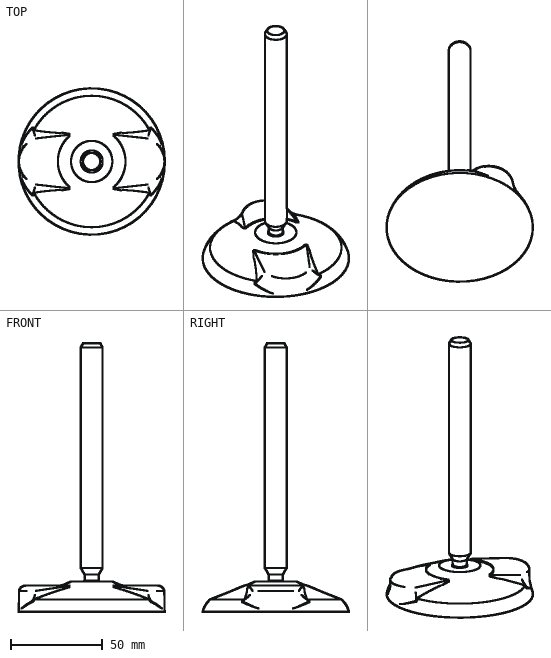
import cadquery as cq
import math

base_radius = 40.0
rim_radius = 35.9
rim_height = 6.7
rim_bulge_radius = 38.5
rim_bulge_height = 3.5
cap_radius = 17.1
cap_base_height = 14.4
cap_shoulder_radius = 15.2
cap_shoulder_height = 14.8
cap_top_radius = 11.3
foot_height = 16.5

lobe_height = 14.4
lobe_inner_radius = 18.5
lobe_tip_x = 12.0
lobe_tip_y = 14.4
lobe_centre_x = 26.5
lobe_flat_radius = 9.4
lobe_round_width = 3.8
lobe_round_drop = 3.0
lobe_flare_width = 6.2
lobe_flare_foot = 5.9
nose_flare_width = 0.1
nose_flare_foot = 0.3
flare_hollow_x = 0.42
flare_hollow_z = 0.57
end_steps = 6
lobe_tip_scale = 0.07

overall_height = 146.5
stud_radius = 12.0 / 2
neck_radius = 7.8 / 2
neck_foot_radius = 4.2
neck_foot_top = 17.0
neck_top = 20.2
shoulder_top = 23.9
stud_tip_radius = 4.7
stud_tip_chamfer = 2.2


def make_plate():
    """Revolve the plate with its curved rim, conical top and raised cap."""
    return (
        cq.Workplane("XZ")
        .lineTo(base_radius, 0)
        .threePointArc((rim_bulge_radius, rim_bulge_height), (rim_radius, rim_height))
        .lineTo(cap_radius, cap_base_height)
        .lineTo(cap_shoulder_radius, cap_shoulder_height)
        .lineTo(cap_top_radius, foot_height)
        .lineTo(0, foot_height)
        .close()
        .revolve(360, (0, 0), (0, 1))
    )


def lobe_section(plane, flat_length, scale, flare_width, flare_foot):
    """Lobe cross-section: flat top, rounded edge, hollow flare and a skirt inside the plate."""
    round_end = flat_length + scale * lobe_round_width
    round_bottom = lobe_height - scale * lobe_round_drop
    flare_drop = round_bottom - flare_foot
    flare_middle = (round_end + flare_hollow_x * flare_width, round_bottom - flare_hollow_z * flare_drop)
    flare_end = round_end + flare_width
    return (
        cq.Workplane(plane)
        .lineTo(0, lobe_height)
        .lineTo(flat_length, lobe_height)
        .tangentArcPoint((round_end, round_bottom), relative=False)
        .threePointArc(flare_middle, (flare_end, flare_foot))
        .lineTo(flare_end, 0)
        .close()
        .wire()
        .val()
    )


def rounded_end_section(angle, end_angle):
    """Section through the lobe's upright axis; the flare dies out towards the nose at angle 0."""
    along = (math.cos(angle), math.sin(angle), 0)
    across = (math.sin(angle), -math.cos(angle), 0)
    plane = cq.Plane((lobe_centre_x, 0, 0), along, across)
    growth = (angle / end_angle) ** 2
    flare_width = nose_flare_width + growth * (lobe_flare_width - nose_flare_width)
    flare_foot = nose_flare_foot + growth * (lobe_flare_foot - nose_flare_foot)
    return lobe_section(plane, lobe_flat_radius, 1, flare_width, flare_foot)


def make_lobe():
    """Rounded end about an upright axis, with two sides running in to sharp tips."""
    tip_run = lobe_centre_x - lobe_tip_x
    tip_distance = math.hypot(tip_run, lobe_tip_y)
    tip_angle = math.atan2(lobe_tip_y, -tip_run)
    end_angle = tip_angle - math.acos(lobe_flat_radius / tip_distance)

    end_sections = [
        rounded_end_section(end_angle * step / end_steps, end_angle) for step in range(end_steps + 1)
    ]
    tip_plane = cq.Plane((lobe_tip_x, 0, 0), (0, 1, 0), (1, 0, 0))
    tip_flare_foot = lobe_height - lobe_tip_scale * (lobe_height - lobe_flare_foot)
    tip_section = lobe_section(
        tip_plane, lobe_tip_y, lobe_tip_scale, lobe_tip_scale * lobe_flare_width, tip_flare_foot
    )
    rounded_end = cq.Workplane(cq.Solid.makeLoft(end_sections))
    side = cq.Workplane(cq.Solid.makeLoft([tip_section, end_sections[-1]], True))
    half_lobe = rounded_end.union(side)
    lobe = half_lobe.union(half_lobe.mirror("XZ"))
    limits = cq.Workplane().circle(base_radius).circle(lobe_inner_radius).extrude(lobe_height)
    return lobe.intersect(limits)


def make_foot():
    lobe = make_lobe()
    return make_plate().union(lobe).union(lobe.mirror("YZ"))


def make_stud():
    return (
        cq.Workplane("XZ")
        .moveTo(0, foot_height)
        .lineTo(neck_foot_radius, foot_height)
        .lineTo(neck_radius, neck_foot_top)
        .lineTo(neck_radius, neck_top)
        .lineTo(stud_radius, shoulder_top)
        .lineTo(stud_radius, overall_height - stud_tip_chamfer)
        .lineTo(stud_tip_radius, overall_height)
        .lineTo(0, overall_height)
        .close()
        .revolve(360, (0, 0), (0, 1))
    )


foot = make_foot()
stud = make_stud()
result = cq.Compound.makeCompound([*foot.solids().vals(), stud.val()])